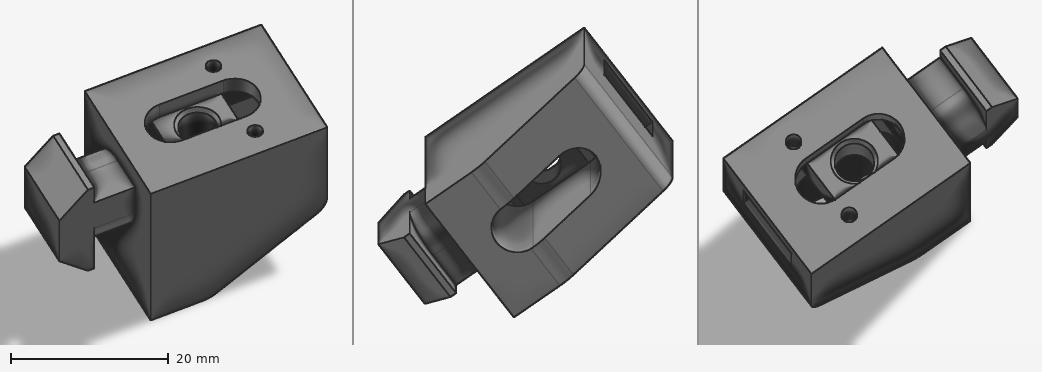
import cadquery as cq
import math


width = 19.0
height = 25
depth = 25
slope_angle = 30
slope_start_y = 8.4
slope_end_z = -height + (depth - slope_start_y) * math.tan(math.radians(slope_angle))
lower_slope_radius = 4.3
upper_slope_radius = 3.0

total_length = 35.7
anchor_width = 10
neck_radius = anchor_width / 2
anchor_center_z = -8.5
head_height = 16.0
head_tip_height = 8.0
head_tip_y = depth - total_length
head_back_y = -5.8
head_lip = 0.9

slot_width = 6.6
slot_length = 15.65
slot_center_y = 12.03
slot_front_y = slot_center_y - slot_length / 2

channel_width = 10.35
channel_roof_z = -2.5
channel_floor_z = -7.82

pin_hole_diameter = 2.0
pin_hole_spacing = 12.0
pin_hole_y = 16.5
pin_hole_depth = 5

nut_side = 10
nut_height = channel_roof_z - channel_floor_z
nut_center_y = 11.3
nut_hole_diameter = 5
nut_countersink_diameter = 6.0
countersink_angle = 90


def make_block():
    """Side profile swept across the width, with both ends of the slope rounded."""
    block = (
        cq.Workplane("YZ")
        .polyline([
            (0, 0),
            (depth, 0),
            (depth, slope_end_z),
            (slope_start_y, -height),
            (0, -height),
        ])
        .close()
        .extrude(width / 2, both=True)
    )
    lower_edge = cq.selectors.NearestToPointSelector((0, slope_start_y, -height))
    upper_edge = cq.selectors.NearestToPointSelector((0, depth, slope_end_z))
    block = block.edges(lower_edge).fillet(lower_slope_radius)
    return block.edges(upper_edge).fillet(upper_slope_radius)


def make_anchor_neck():
    """Neck with two opposite corners rounded to the full half width."""
    r = neck_radius
    diagonal = r * math.sqrt(0.5)
    return (
        cq.Workplane("XZ", origin=(0, 0, anchor_center_z))
        .moveTo(-r, -r)
        .lineTo(-r, 0)
        .threePointArc((-diagonal, diagonal), (0, r))
        .lineTo(r, r)
        .lineTo(r, 0)
        .threePointArc((diagonal, -diagonal), (0, -r))
        .close()
        .extrude(-head_back_y)
    )


def make_anchor_head():
    """Head with a short straight lip and a taper to its flat tip."""
    half_back = head_height / 2
    half_tip = head_tip_height / 2
    lip_y = head_back_y - head_lip
    return (
        cq.Workplane("YZ", origin=(0, 0, anchor_center_z))
        .polyline([
            (head_back_y, half_back),
            (lip_y, half_back),
            (head_tip_y, half_tip),
            (head_tip_y, -half_tip),
            (lip_y, -half_back),
            (head_back_y, -half_back),
        ])
        .close()
        .extrude(anchor_width / 2, both=True)
    )


def make_screw_slot():
    return (
        cq.Workplane("XY")
        .center(0, slot_center_y)
        .slot2D(slot_length, slot_width, 90)
        .extrude(-height)
    )


def make_nut_channel():
    return cq.Workplane("XY").box(
        channel_width,
        depth - slot_front_y,
        channel_roof_z - channel_floor_z,
        centered=(True, False, False),
    ).translate((0, slot_front_y, channel_floor_z))


def make_pin_holes():
    """Two blind holes ending above the channel floor."""
    return (
        cq.Workplane("XY")
        .pushPoints([(side * pin_hole_spacing / 2, pin_hole_y) for side in (-1, 1)])
        .circle(pin_hole_diameter / 2)
        .extrude(-pin_hole_depth)
    )


def make_housing():
    housing = make_block().union(make_anchor_neck()).union(make_anchor_head())
    return housing.cut(make_screw_slot()).cut(make_nut_channel()).cut(make_pin_holes())


def make_nut():
    return (
        cq.Workplane("XY", origin=(0, nut_center_y, channel_floor_z))
        .rect(nut_side, nut_side)
        .extrude(nut_height)
        .faces(">Z")
        .workplane()
        .cskHole(nut_hole_diameter, nut_countersink_diameter, countersink_angle)
    )


housing = make_housing()
nut = make_nut()

result = cq.Compound.makeCompound([housing.val(), nut.val()])